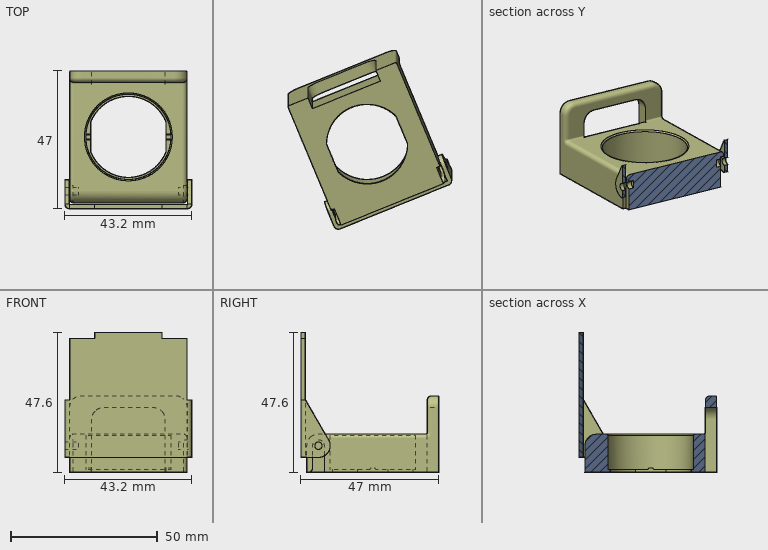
import cadquery as cq
import math

base_width = 40.0
base_depth = 45.0
deck_height = 13.05
edge_radius = 1.5
front_top_radius = 4.0
back_edge_radius = 0.5
inner_corner_radius = 0.5

handle_height = 26.05
handle_thickness = 4.0
handle_corner_radius = 4.0
window_width = 25.0
window_top = 22.0
window_radius = 4.0

bore_diameter = 29.0
bore_chamfer = 0.48
lip_diameter = 27.5
lip_flat_spacing = 25.5
lip_height = 1.0
ridge_base_width = 2.1
ridge_top_width = 1.35
ridge_height = 0.4

recess_depth = 1.2
recess_width = 4.0
post_radius = 1.5

cover_width = 43.2
cover_top = 47.6
cover_bottom = 5.05
sheet = 1.5
bend_radius = 1.6
front_gap = 0.48
tab_width = 23.0
tab_height = 2.0
ear_radius = 4.0
ear_slope = math.radians(30)
pivot_setback = 6.0
pin_hole_diameter = 2.5
pin_hole_depth = 3.0

handle_front = base_depth - handle_thickness
cover_front = -front_gap - sheet
plate_width = cover_width - 2 * bend_radius
pivot_y = cover_front + pivot_setback
pivot_z = cover_bottom + ear_radius
bore_y = base_depth / 2


def box(width, y_start, y_end, z_start, z_end):
    """Box centred on X between the given Y and Z limits."""
    return (
        cq.Workplane("XY")
        .box(width, y_end - y_start, z_end - z_start, centered=(True, False, False))
        .translate((0, y_start, z_start))
    )


def bore_cylinder(diameter, z_start, z_end):
    return (
        cq.Workplane("XY", origin=(0, bore_y, z_start))
        .circle(diameter / 2)
        .extrude(z_end - z_start)
    )


def edge_near(x, y, z):
    return cq.selectors.NearestToPointSelector((x, y, z))


def make_shell():
    """Solid block with the handle wall, rounded on the outside."""
    shell = box(base_width, 0, base_depth, 0, deck_height).union(
        box(base_width, handle_front, base_depth, 0, handle_height)
    )
    shell = shell.edges(edge_near(0, handle_front, deck_height)).fillet(inner_corner_radius)
    shell = shell.edges("|Y and >Z").fillet(handle_corner_radius)
    shell = shell.edges(edge_near(0, 0, deck_height)).fillet(front_top_radius)
    shell = shell.edges(edge_near(0, handle_front, handle_height)).fillet(edge_radius)
    shell = shell.faces(">Y").edges("not <Z").fillet(back_edge_radius)
    return shell


def make_window():
    """Handle opening, running down through the back of the base."""
    window = box(window_width, handle_front, base_depth, 0, window_top)
    fillet_strip = box(window_width, handle_front - inner_corner_radius, base_depth, deck_height, window_top)
    return window.union(fillet_strip).edges("|Y and >Z").fillet(window_radius)


def make_bore():
    """Through bore that leaves a lip with two flats at the bottom."""
    lip_opening = bore_cylinder(lip_diameter, 0, lip_height).intersect(
        box(lip_flat_spacing, 0, base_depth, 0, lip_height)
    )
    mouth = (
        cq.Workplane("XY", origin=(0, bore_y, deck_height))
        .circle(bore_diameter / 2 + bore_chamfer)
        .extrude(-bore_chamfer, taper=45)
    )
    return bore_cylinder(bore_diameter, lip_height, deck_height).union(lip_opening).union(mouth)


def make_lip_ridges():
    """Trapezoidal ridges on the lip, from each flat out to the bore wall."""
    ridge = (
        cq.Workplane("YZ", origin=(0, bore_y, lip_height))
        .moveTo(-ridge_base_width / 2, 0)
        .lineTo(ridge_base_width / 2, 0)
        .lineTo(ridge_top_width / 2, ridge_height)
        .lineTo(-ridge_top_width / 2, ridge_height)
        .close()
        .extrude(bore_diameter / 2 + bore_chamfer, both=True)
    )
    return ridge.cut(box(lip_flat_spacing, 0, base_depth, 0, deck_height))


def make_side_recess(side):
    """Round-topped slot behind one hinge ear, open at the bottom, with its blind pin hole."""
    recess_back = pivot_y + recess_width / 2
    recess_front = pivot_y - recess_width / 2
    recess = (
        cq.Workplane("YZ", origin=(side * base_width / 2, 0, 0))
        .moveTo(recess_back, 0)
        .lineTo(recess_back, pivot_z)
        .threePointArc((pivot_y, pivot_z + recess_width / 2), (recess_front, pivot_z))
        .lineTo(recess_front, post_radius)
        .radiusArc((recess_front - post_radius, 0), post_radius)
        .close()
        .extrude(-side * recess_depth)
    )
    pin_hole = (
        cq.Workplane("YZ", origin=(side * base_width / 2, pivot_y, pivot_z))
        .circle(pin_hole_diameter / 2)
        .extrude(-side * pin_hole_depth)
    )
    return recess.union(pin_hole)


def make_base():
    base = make_shell().cut(make_window()).cut(make_bore()).union(make_lip_ridges())
    for side in (-1, 1):
        base = base.cut(make_side_recess(side))
    return base


def make_plate():
    """Upright plate with a locating tab on its top edge."""
    plate = box(plate_width, cover_front, cover_front + sheet, cover_bottom, cover_top - tab_height)
    tab = box(tab_width, cover_front, cover_front + sheet, cover_top - tab_height, cover_top)
    return plate.union(tab)


def make_ears():
    """Both hinge ears with their bends, as a folded channel trimmed to the ear outline."""
    bend_line = cover_front + bend_radius
    ear_back = pivot_y + ear_radius
    tangent_y = pivot_y + ear_radius * math.cos(ear_slope)
    tangent_z = pivot_z + ear_radius * math.sin(ear_slope)
    ear_top = tangent_z + (tangent_y - bend_line) / math.tan(ear_slope)
    outline = (
        cq.Workplane("YZ")
        .moveTo(cover_front, cover_bottom)
        .lineTo(pivot_y, cover_bottom)
        .threePointArc((ear_back, pivot_z), (tangent_y, tangent_z))
        .lineTo(bend_line, ear_top)
        .lineTo(cover_front, ear_top)
        .close()
        .extrude(cover_width / 2, both=True)
    )
    channel = box(cover_width, cover_front, ear_back, cover_bottom, ear_top)
    channel = channel.edges("|Z and <Y").fillet(bend_radius)
    inside = box(cover_width - 2 * sheet, cover_front + sheet, ear_back, cover_bottom, ear_top)
    inside = inside.edges("|Z and <Y").fillet(bend_radius - sheet)
    pin_holes = (
        cq.Workplane("YZ", origin=(0, pivot_y, pivot_z))
        .circle(pin_hole_diameter / 2)
        .extrude(cover_width / 2, both=True)
    )
    return channel.cut(inside).intersect(outline).cut(pin_holes)


def make_cover():
    return make_plate().union(make_ears())


base = make_base()
cover = make_cover()
result = cq.Compound.makeCompound([base.val(), cover.val()])